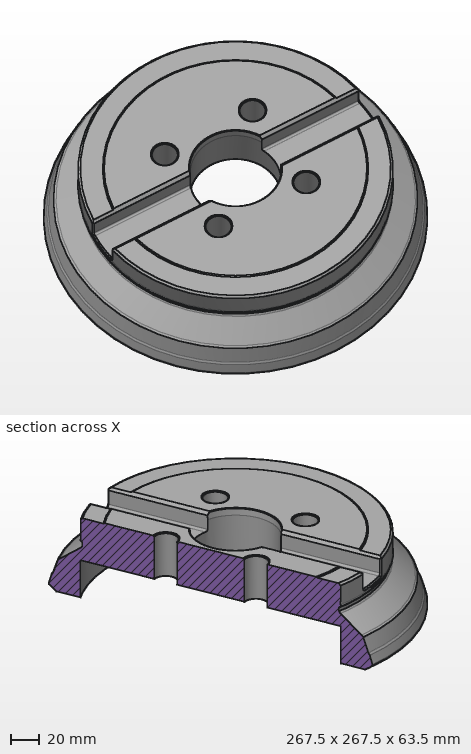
import cadquery as cq

outer_diameter = 267.5
height = 63.5

base_radius = 128.0
rim_radius = outer_diameter / 2
rim_bottom_z = 4.3
rim_top_z = 6.0
step_outer_radius = 131.6
step_inner_radius = 130.5
step_bottom_z = 12.5
step_top_z = 14.2
shoulder_outer_radius = 126.8
shoulder_inner_radius = 125.2
shoulder_bottom_z = 25.5
shoulder_top_z = 26.8

neck_radius = 217.0 / 2
cone_top_radius = 109.5
cone_top_z = 39.5
neck_bottom_z = 41.0
neck_top_z = 43.5
lip_radius = 220.0 / 2
lip_bottom_z = 45.0
lip_top_z = 45.5
head_bottom_z = 46.5
head_radius = 109.7
pad_height = 0.5
face_z = height - pad_height
head_chamfer = 1.5

pad_diameter = 183.0
pad_bevel = 1.0

bore_diameter = 63.5
bore_chamfer = 0.5
lead_in_growth = 0.4
lead_in_depth = 5.4
hub_thickness = 34.2
cavity_diameter = 219.5

hole_diameter = 18.0
hole_chamfer = 0.8
hole_spacing = 71.7

slot_width = 25.2
slot_depth = 14.7
slot_floor_fillet = 1.5
slot_chamfer = 2.5
slot_end_chamfer = 1.0
slot_length = outer_diameter
end_edge_margin = 0.3
end_edge_reach = 2.7


def make_body():
    """Revolved rim, cone, neck and head, with the raised pad on top."""
    profile = [
        (0, 0),
        (base_radius, 0),
        (rim_radius, rim_bottom_z),
        (rim_radius, rim_top_z),
        (step_outer_radius, step_bottom_z),
        (step_inner_radius, step_top_z),
        (shoulder_outer_radius, shoulder_bottom_z),
        (shoulder_inner_radius, shoulder_top_z),
        (cone_top_radius, cone_top_z),
        (neck_radius, neck_bottom_z),
        (neck_radius, neck_top_z),
        (lip_radius, lip_bottom_z),
        (lip_radius, lip_top_z),
        (head_radius, head_bottom_z),
        (head_radius, face_z - head_chamfer),
        (head_radius - head_chamfer, face_z),
        (pad_diameter / 2 + pad_bevel, face_z),
        (pad_diameter / 2, height),
        (0, height),
    ]
    return cq.Workplane("XZ").polyline(profile).close().revolve(360, (0, 0), (0, 1))


def make_cavity():
    """Round hollow that leaves the hub as a plate of even thickness."""
    return cq.Workplane("XY").circle(cavity_diameter / 2).extrude(height - hub_thickness)


def make_bore():
    """Through bore with a slightly tapered lead-in and a chamfer at the top face."""
    radius = bore_diameter / 2
    lead_in_radius = radius + lead_in_growth
    bore_profile = [
        (0, 0),
        (radius, 0),
        (radius, height - lead_in_depth),
        (lead_in_radius, height - bore_chamfer),
        (lead_in_radius + bore_chamfer, height),
        (0, height),
    ]
    return cq.Workplane("XZ").polyline(bore_profile).close().revolve(360, (0, 0), (0, 1))


def make_bolt_hole(x, y):
    """Through hole at (x, y) with a 45 degree chamfer at the top face."""
    radius = hole_diameter / 2
    hole_profile = [
        (0, 0),
        (radius, 0),
        (radius, height - hole_chamfer),
        (radius + hole_chamfer, height),
        (0, height),
    ]
    hole = cq.Workplane("XZ").polyline(hole_profile).close().revolve(360, (0, 0), (0, 1))
    return hole.translate((x, y, 0))


def cut_slot(body):
    """Slot along Y with filleted floor corners, chamfered ends and flared top edges."""
    half_width = slot_width / 2
    floor_z = height - slot_depth
    channel = (
        cq.Workplane("XY")
        .box(slot_width, slot_length, slot_depth, centered=(True, True, False))
        .translate((0, 0, floor_z))
        .edges("|Y and <Z")
        .fillet(slot_floor_fillet)
    )
    flare = (
        cq.Workplane("XZ")
        .polyline([
            (-half_width, height - slot_chamfer),
            (half_width, height - slot_chamfer),
            (half_width + slot_chamfer, height),
            (-half_width - slot_chamfer, height),
        ])
        .close()
        .extrude(slot_length / 2, both=True)
    )
    slotted = body.cut(channel)
    for y_side in (-1, 1):
        near_corner = (
            -half_width - end_edge_margin,
            y_side * (head_radius - end_edge_reach),
            floor_z - end_edge_margin,
        )
        far_corner = (
            half_width + end_edge_margin,
            y_side * (head_radius + end_edge_reach),
            face_z - head_chamfer - end_edge_margin,
        )
        end_edges = cq.selectors.BoxSelector(near_corner, far_corner)
        slotted = slotted.edges(end_edges).chamfer(slot_end_chamfer)
    return slotted.cut(flare)


result = cut_slot(make_body()).cut(make_cavity()).cut(make_bore())
for x_side in (-1, 1):
    for y_side in (-1, 1):
        result = result.cut(make_bolt_hole(x_side * hole_spacing / 2, y_side * hole_spacing / 2))